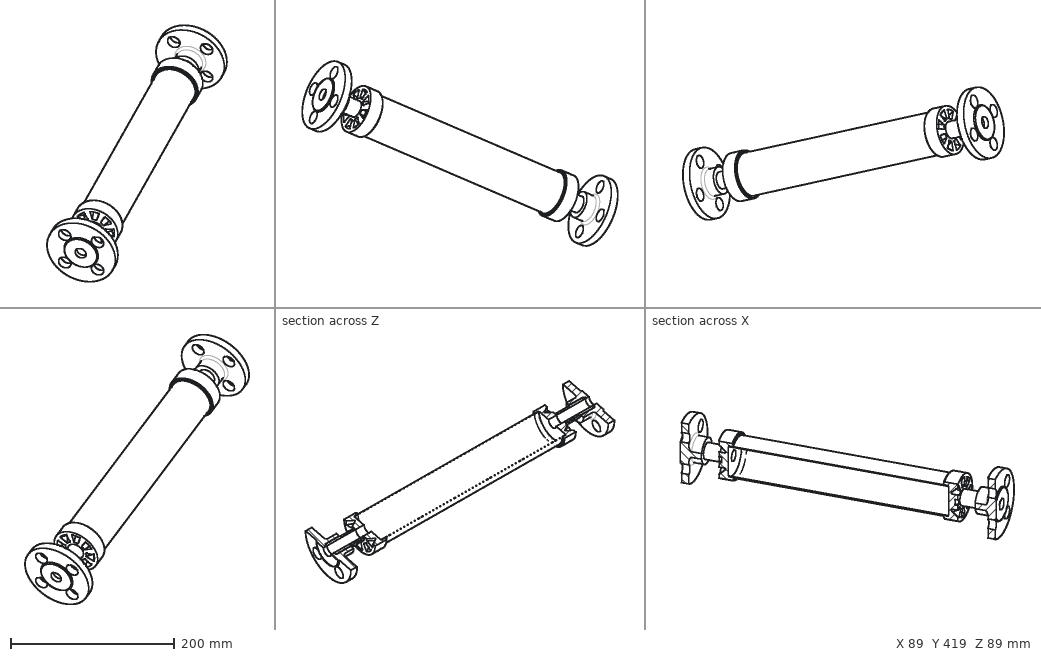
import cadquery as cq
import math

TOTAL_LENGTH = 419.0
END_Y = TOTAL_LENGTH / 2

FLANGE_DIAMETER = 89.0
FLANGE_LENGTH = 28.5
RAISED_FACE_DIAMETER = 42.0
RAISED_FACE_BASE_DIAMETER = 44.5
RAISED_FACE_HEIGHT = 1.5
PLATE_THICKNESS = 10.0
HUB_DIAMETER = 34.0
HUB_FILLET = 3.15
BOLT_HOLE_DIAMETER = 16.0
BOLT_CIRCLE_DIAMETER = 60.5
BOLT_HOLE_COUNT = 4
BOLT_START_ANGLE = 45.0

PIPE_DIAMETER = 21.5
BORE_DIAMETER = 14.2
PIPE_EXPOSED_LENGTH = 22.5
PIPE_SEAT_DEPTH = 6.0

CAP_DIAMETER = 60.8
CAP_LENGTH = 19.3
CAP_CHAMFER = 1.3
TUBE_SOCKET_DEPTH = 6.3

GROOVE_OUTER_DIAMETER = 52.0
GROOVE_INNER_DIAMETER = 28.5
GROOVE_WALL_ANGLE = 33.0
POCKET_COUNT = 8
POCKET_SIDE_ANGLE = 15.0
POCKET_MIDDLE_WIDTH = 9.0

TUBE_DIAMETER = 54.0
TUBE_BORE_DIAMETER = 51.0

PLATE_OUTER_Y = -END_Y + RAISED_FACE_HEIGHT
PLATE_INNER_Y = PLATE_OUTER_Y + PLATE_THICKNESS
HUB_END_Y = -END_Y + FLANGE_LENGTH
PIPE_END_Y = -END_Y + PIPE_SEAT_DEPTH
CAP_OUTER_Y = HUB_END_Y + PIPE_EXPOSED_LENGTH
CAP_INNER_Y = CAP_OUTER_Y + CAP_LENGTH
TUBE_END_Y = CAP_INNER_Y - TUBE_SOCKET_DEPTH


def cylinder(diameter, y_start, y_end):
    """Solid cylinder on the Y axis."""
    start_plane = cq.Workplane("XZ", origin=(0, y_start, 0))
    return start_plane.circle(diameter / 2).extrude(y_start - y_end)


def ring(outer_diameter, inner_diameter, y_start, y_end):
    """Hollow cylinder on the Y axis."""
    return cylinder(outer_diameter, y_start, y_end).cut(cylinder(inner_diameter, y_start, y_end))


def make_flange():
    """Bolted flange with a tapered raised face and a filleted hub."""
    hub_radius = HUB_DIAMETER / 2
    fillet_end_y = PLATE_INNER_Y + HUB_FILLET
    fillet_middle_offset = HUB_FILLET * (1 - math.sqrt(0.5))
    half_section = (
        cq.Workplane("XY")
        .moveTo(0, -END_Y)
        .lineTo(RAISED_FACE_DIAMETER / 2, -END_Y)
        .lineTo(RAISED_FACE_BASE_DIAMETER / 2, PLATE_OUTER_Y)
        .lineTo(FLANGE_DIAMETER / 2, PLATE_OUTER_Y)
        .lineTo(FLANGE_DIAMETER / 2, PLATE_INNER_Y)
        .lineTo(hub_radius + HUB_FILLET, PLATE_INNER_Y)
        .threePointArc(
            (hub_radius + fillet_middle_offset, PLATE_INNER_Y + fillet_middle_offset),
            (hub_radius, fillet_end_y),
        )
        .lineTo(hub_radius, HUB_END_Y)
        .lineTo(0, HUB_END_Y)
        .close()
    )
    flange = half_section.revolve(360, (0, 0, 0), (0, 1, 0))
    bolt_holes = (
        cq.Workplane("XZ", origin=(0, PLATE_OUTER_Y, 0))
        .polarArray(BOLT_CIRCLE_DIAMETER / 2, BOLT_START_ANGLE, 360, BOLT_HOLE_COUNT)
        .circle(BOLT_HOLE_DIAMETER / 2)
        .extrude(-PLATE_THICKNESS)
    )
    flange = flange.cut(bolt_holes).cut(cylinder(BORE_DIAMETER, -END_Y, PIPE_END_Y))
    return flange.cut(cylinder(PIPE_DIAMETER, PIPE_END_Y, HUB_END_Y))


def make_pipe():
    """Short pipe seated in the flange and butted against the cap."""
    return ring(PIPE_DIAMETER, BORE_DIAMETER, PIPE_END_Y, CAP_OUTER_Y)


def make_pockets():
    """Pockets cut from one V groove around the cap face, each narrowing towards the axis."""
    outer_radius = GROOVE_OUTER_DIAMETER / 2
    inner_radius = GROOVE_INNER_DIAMETER / 2
    half_groove = (outer_radius - inner_radius) / 2
    depth = half_groove / math.tan(math.radians(GROOVE_WALL_ANGLE))
    groove = (
        cq.Workplane("XY")
        .polyline(
            [
                (inner_radius, CAP_OUTER_Y),
                (outer_radius, CAP_OUTER_Y),
                (inner_radius + half_groove, CAP_OUTER_Y + depth),
            ]
        )
        .close()
        .revolve(360, (0, 0, 0), (0, 1, 0))
    )
    side_slope = math.tan(math.radians(POCKET_SIDE_ANGLE))
    rim_radius = CAP_DIAMETER / 2
    half_rim_width = POCKET_MIDDLE_WIDTH / 2 + (rim_radius - inner_radius - half_groove) * side_slope
    side_apex_radius = rim_radius - half_rim_width / side_slope
    window = (
        cq.Workplane("XZ", origin=(0, CAP_OUTER_Y, 0))
        .polyline(
            [
                (side_apex_radius, 0),
                (rim_radius, -half_rim_width),
                (rim_radius, half_rim_width),
            ]
        )
        .close()
        .extrude(-depth)
    )
    pitch_angle = 360 / POCKET_COUNT
    pockets = []
    for index in range(POCKET_COUNT):
        turned_window = window.rotate((0, 0, 0), (0, 1, 0), index * pitch_angle)
        pockets.append(groove.intersect(turned_window))
    return pockets


def make_cap():
    """End cap with a ring of pockets in the outer face and a socket for the tube."""
    cap = cylinder(CAP_DIAMETER, CAP_OUTER_Y, CAP_INNER_Y).faces(">Y").edges().chamfer(CAP_CHAMFER)
    cap = cap.cut(cylinder(TUBE_DIAMETER, TUBE_END_Y, CAP_INNER_Y))
    cap = cap.cut(cylinder(BORE_DIAMETER, CAP_OUTER_Y, TUBE_END_Y))
    for pocket in make_pockets():
        cap = cap.cut(pocket)
    return cap


def make_tube():
    """Long tube seated in both caps."""
    return ring(TUBE_DIAMETER, TUBE_BORE_DIAMETER, TUBE_END_Y, -TUBE_END_Y)


end_bodies = []
for make_body in (make_flange, make_pipe, make_cap):
    body = make_body()
    end_bodies.append(body.val())
    end_bodies.append(body.mirror("XZ").val())

tube = make_tube()

result = cq.Compound.makeCompound([tube.val(), *end_bodies])